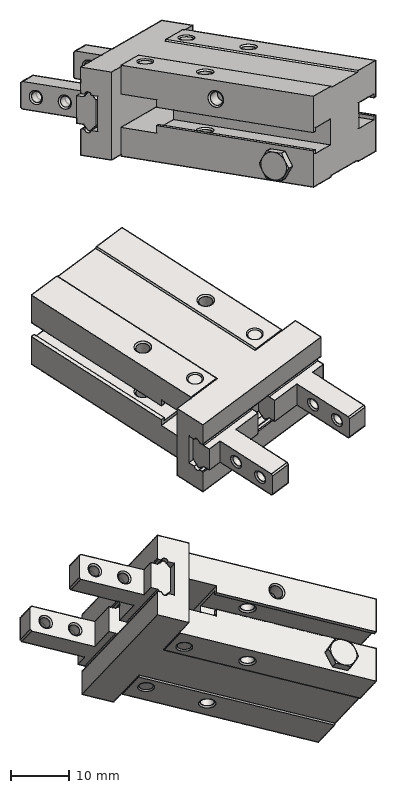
import cadquery as cq
import math


head_length = 6.05
head_width = 30.0
head_height = 15.95

slot_depth = 3.3
slot_height = 6.4
slot_chamfer = 0.15
race_x = 1.4
race_radius = 0.6
race_height = 7.4

housing_end = 43.6
housing_width = 23.0
pad_height = 0.255
pad_inner_edge = 4.8

window_end = 13.0
window_height = 6.05
groove_mouth = 3.3
groove_lip = 0.75
groove_height = 4.7
groove_depth = 6.25

hole_diameter = 2.45
hole_chamfer = 0.3
mount_hole_x = 20.65
mount_hole_y = 8.0
recess_x = 8.7
recess_y = 7.6
recess_depth = 0.2
port_x = 24.55
port_z = 4.9
port_depth = 2.85
passage_diameter = 0.5
passage_depth = 1.15

plug_x = 36.65
plug_z = -5.0
plug_flats = 5.0
plug_height = 1.5
plug_bevel = 0.15

jaw_height = 5.0
bar_length = 12.35
bar_width = 4.0
bar_outer_y = 11.75
tip_chamfer = 0.3
jaw_front = -1.0
jaw_back = 2.8
carriage_inner_y = 2.1
carriage_outer_y = 14.5
ridge_height = 6.95
ridge_flat = 0.35
bar_hole_diameter = 2.0
bar_hole_chamfer = 0.3
bar_hole_offset = 2.95
bar_hole_pitch = 5.65

housing_height = head_height + 2 * pad_height


def box(x_range, y_range, z_range):
    """Rectangular block given by its limits along each axis."""
    (x0, x1), (y0, y1), (z0, z1) = x_range, y_range, z_range
    return cq.Workplane("XY").box(x1 - x0, y1 - y0, z1 - z0, centered=False).translate((x0, y0, z0))


def centred(size):
    """Limits of a length centred on zero."""
    return (-size / 2, size / 2)


def chamfered_cutter(diameter, depth, chamfer, point, direction):
    """Round hole of the given depth whose mouth at point is countersunk; direction points into the part."""
    start = cq.Vector(*point)
    axis = cq.Vector(*direction)
    radius = diameter / 2
    bore = cq.Solid.makeCylinder(radius, depth, start, axis)
    mouth = cq.Solid.makeCone(radius + chamfer, radius, chamfer, start, axis)
    return cq.Workplane(obj=bore.fuse(mouth))


def make_head():
    head = box((0, head_length), centred(head_width), centred(head_height))
    half_slot = slot_height / 2
    half_mouth = half_slot + slot_chamfer
    slot_outline = [
        (0, half_mouth),
        (slot_chamfer, half_slot),
        (slot_depth, half_slot),
        (slot_depth, -half_slot),
        (slot_chamfer, -half_slot),
        (0, -half_mouth),
    ]
    slot = cq.Workplane("XZ").polyline(slot_outline).close().extrude(head_width / 2, both=True)
    head = head.cut(slot)
    for side in (1, -1):
        race_z = side * (race_height / 2 - race_radius)
        race = (
            cq.Workplane("XZ")
            .center(race_x, race_z)
            .circle(race_radius)
            .extrude(head_width / 2, both=True)
        )
        head = head.cut(race)
    return head


def make_housing_block():
    half_width = housing_width / 2
    half_height = housing_height / 2
    block = box((head_length, housing_end), centred(housing_width), centred(head_height))
    pad_outline = [
        (half_width, 0),
        (half_width, half_height),
        (pad_inner_edge + pad_height, half_height),
        (pad_inner_edge, half_height - pad_height),
        (pad_inner_edge, 0),
    ]
    pad = cq.Workplane("YZ").workplane(offset=head_length).polyline(pad_outline).close()
    pad = pad.extrude(housing_end - head_length)
    pads = pad.union(pad.mirror("XZ"))
    block = block.union(pads).union(pads.mirror("XY"))
    return block.cut(box((head_length, window_end), centred(housing_width), centred(window_height)))


def make_side_groove():
    """T-slot on the -Y side, from the window to the rear end."""
    outer_y = -housing_width / 2
    x_range = (window_end, housing_end)
    mouth = box(x_range, (outer_y, outer_y + groove_lip), centred(groove_mouth))
    chamber = box(x_range, (outer_y + groove_lip, outer_y + groove_depth), centred(groove_height))
    return mouth.union(chamber)


def make_port():
    """Air port on the -Y side with a fine passage in its floor."""
    outer_y = -housing_width / 2
    port = chamfered_cutter(hole_diameter, port_depth, hole_chamfer, (port_x, outer_y, port_z), (0, 1, 0))
    passage = cq.Solid.makeCylinder(
        passage_diameter / 2, port_depth + passage_depth, cq.Vector(port_x, outer_y, port_z), cq.Vector(0, 1, 0)
    )
    return port.union(cq.Workplane(obj=passage))


def make_plug():
    """Hexagonal plug head whose outer corners are bevelled to a circle."""
    corner_diameter = plug_flats / math.cos(math.pi / 6)
    corner_radius = corner_diameter / 2
    plane = cq.Plane(origin=(plug_x, -housing_width / 2, plug_z), xDir=(1, 0, 0), normal=(0, -1, 0))
    hexagon = cq.Workplane(plane).polygon(6, corner_diameter).extrude(plug_height)
    bevel = cq.Workplane(plane).circle(corner_radius).extrude(plug_height)
    bevel = bevel.faces("<Y").chamfer(plug_bevel, corner_radius - plug_flats / 2)
    return hexagon.intersect(bevel)


def make_housing():
    housing = make_head().union(make_housing_block())
    groove = make_side_groove()
    housing = housing.cut(groove).cut(groove.mirror("XZ"))
    half_height = housing_height / 2
    flange = half_height - groove_height / 2
    for side in (1, -1):
        for face in (1, -1):
            inward = (0, 0, -face)
            outward = (0, 0, face)
            outer_point = (mount_hole_x, side * mount_hole_y, face * half_height)
            inner_point = (mount_hole_x, side * mount_hole_y, face * groove_height / 2)
            recess_point = (recess_x, side * recess_y, face * half_height)
            housing = housing.cut(chamfered_cutter(hole_diameter, flange, hole_chamfer, outer_point, inward))
            housing = housing.cut(chamfered_cutter(hole_diameter, flange, hole_chamfer, inner_point, outward))
            housing = housing.cut(
                chamfered_cutter(hole_diameter, recess_depth, recess_depth, recess_point, inward)
            )
    return housing.cut(make_port()).union(make_plug())


def make_jaw(side):
    """Jaw on the given Y side: a carriage with 45-degree ridges in the head slot, and a drilled bar."""
    half_height = jaw_height / 2
    tip = ridge_height / 2
    rise = tip - half_height
    ridge_front = race_x - ridge_flat / 2
    ridge_back = race_x + ridge_flat / 2
    back_half_height = tip - (jaw_back - ridge_back)
    upper = [
        (jaw_front, half_height),
        (ridge_front - rise, half_height),
        (ridge_front, tip),
        (ridge_back, tip),
        (jaw_back, back_half_height),
    ]
    lower = [(x, -z) for x, z in reversed(upper)]
    carriage = (
        cq.Workplane("XZ", origin=(0, carriage_outer_y, 0))
        .polyline(upper + lower)
        .close()
        .extrude(carriage_outer_y - carriage_inner_y)
    )

    bar_tip = jaw_front - bar_length
    bar_inner_y = bar_outer_y - bar_width
    bar = box((bar_tip, jaw_front), (bar_inner_y, bar_outer_y), centred(jaw_height))
    bar = bar.faces("<X").edges("|Y").chamfer(tip_chamfer)
    for index in range(2):
        hole_x = bar_tip + bar_hole_offset + index * bar_hole_pitch
        for mouth_y, into in ((bar_inner_y, 1), (bar_outer_y, -1)):
            bar = bar.cut(
                chamfered_cutter(
                    bar_hole_diameter, bar_width / 2, bar_hole_chamfer, (hole_x, mouth_y, 0), (0, into, 0)
                )
            )
    jaw = carriage.union(bar)
    return jaw if side > 0 else jaw.mirror("XZ")


housing = make_housing()
jaws = [make_jaw(side) for side in (1, -1)]

result = cq.Compound.makeCompound([housing.val(), *[jaw.val() for jaw in jaws]])